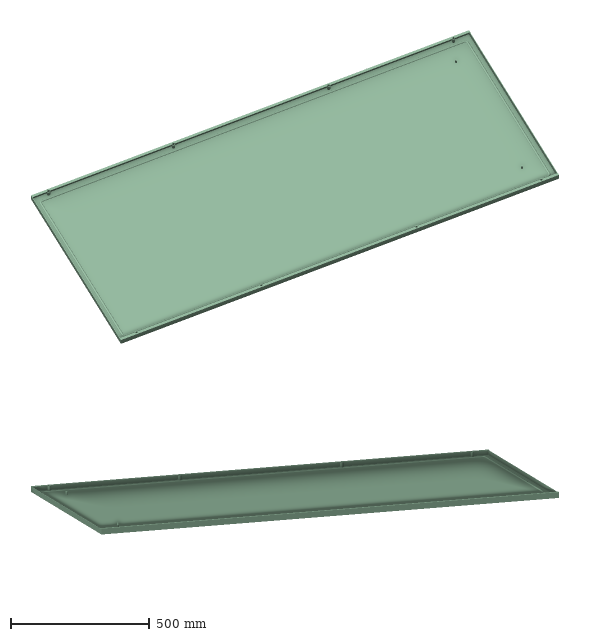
import cadquery as cq

sheet = 2.1
width = 747.0
length = 1761.0
end_wall_height = 20.0
height = end_wall_height + sheet
return_width = 10.2

post_radius = 6.2
post_bore_radius = 4.4
post_inset = 9.0
outer_post_y = 814.0
inner_post_y = 312.0

stud_x = 273.0
stud_y = 780.0
stud_radius = 4.0
stud_height = 13.2
plug_radius = 4.4
plug_z = end_wall_height / 2

gasket_inset_x = 26.0
gasket_inset_y = 23.0
gasket_half_width = 4.4
gasket_rise = 2.6
gasket_corner_radius = 10.0

SIDES = (-1, 1)


def block(size_x, size_y, size_z, x, y, z):
    """A box centred on (x, y) that stands on height z."""
    return (
        cq.Workplane("XY")
        .box(size_x, size_y, size_z, centered=(True, True, False))
        .translate((x, y, z))
    )


def cylinder(radius, depth, x, y, z):
    """An upright cylinder that stands on height z."""
    return cq.Workplane("XY", origin=(x, y, z)).circle(radius).extrude(depth)


def make_plug(x, end):
    """A plug as thick as the end wall that it fills; end is -1 or 1 for the -Y or +Y wall."""
    outer_y = length / 2 if end > 0 else -length / 2 + sheet
    return cq.Workplane("XZ", origin=(x, outer_y, plug_z)).circle(plug_radius).extrude(sheet)


def make_shell():
    """Floor, two end walls, two side walls and their inward returns."""
    shell = block(width, length, sheet, 0, 0, 0)
    for side in SIDES:
        end_wall = block(width, sheet, end_wall_height, 0, side * (length - sheet) / 2, 0)
        side_wall = block(sheet, length, height, side * (width - sheet) / 2, 0, 0)
        side_return = block(
            return_width, length, sheet, side * (width - return_width) / 2, 0, end_wall_height
        )
        shell = shell.union(end_wall).union(side_wall).union(side_return)
    return shell


def add_posts(shell):
    """Bored posts between the floor and the returns."""
    for side in SIDES:
        x = side * (width / 2 - post_inset)
        for y in (-outer_post_y, -inner_post_y, inner_post_y, outer_post_y):
            shell = shell.union(cylinder(post_radius, end_wall_height - sheet, x, y, sheet))
            shell = shell.cut(cylinder(post_bore_radius, height - sheet, x, y, sheet))
    return shell


def make_tray(plugs):
    """The shell with its posts, and a hole in the end walls for each plug."""
    tray = add_posts(make_shell())
    for plug in plugs:
        tray = tray.cut(plug)
    return tray


def make_gasket():
    """A closed ring with rounded corners and a domed section, lying on the floor."""
    ring_x = width - 2 * gasket_inset_x
    ring_y = length - 2 * gasket_inset_y
    rounded_block = block(ring_x, ring_y, height, 0, 0, sheet).edges("|Z").fillet(gasket_corner_radius)
    path = rounded_block.faces("<Z").wires()
    section = (
        cq.Workplane("XZ", origin=(ring_x / 2, 0, sheet))
        .moveTo(-gasket_half_width, 0)
        .threePointArc((0, gasket_rise), (gasket_half_width, 0))
        .close()
    )
    return section.sweep(path)


def make_stud(x):
    """A plain stud standing on the floor."""
    return cylinder(stud_radius, stud_height, x, stud_y, sheet)


plugs = [make_plug(side * stud_x, end) for side in SIDES for end in SIDES]
studs = [make_stud(side * stud_x) for side in SIDES]
tray = make_tray(plugs)
gasket = make_gasket()

result = cq.Compound.makeCompound(
    [tray.val(), gasket.val(), *[stud.val() for stud in studs], *[plug.val() for plug in plugs]]
)